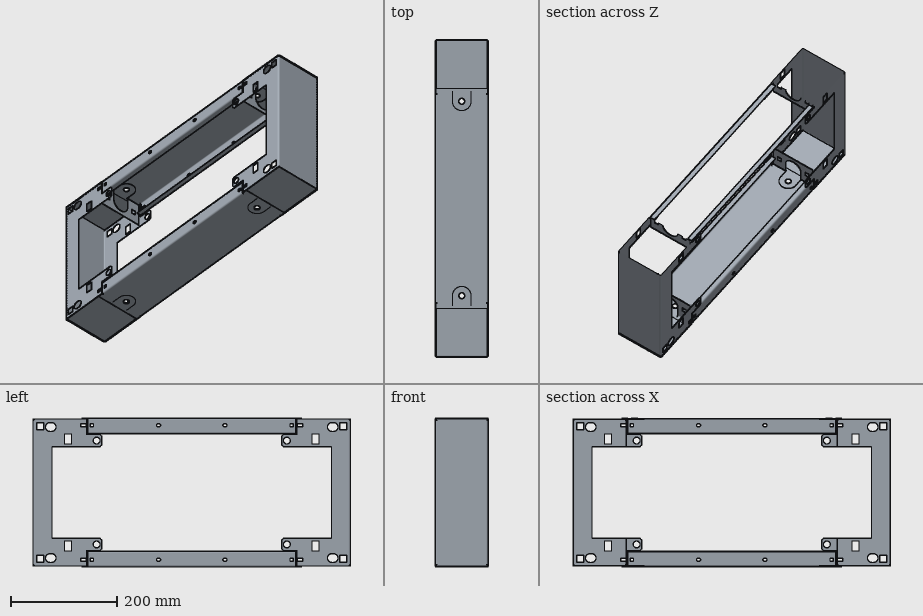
import cadquery as cq

frame_width = 100.0
frame_length = 598.0
frame_height = 280.5
sheet = 1.5
bend_outer = 3.5
bend_inner = bend_outer - sheet

rail_channel_length = 392.0
rail_depth = 30.0
rail_lip = 11.5
rail_overlap_length = 414.0
rail_overlap_width = 98.0
rail_neck_chamfer = 2.0
rail_screw_hole = 12.0
rail_square_hole = 5.5
rail_square_y = 188.0
rail_slot_length = 7.5
rail_slot_height = 5.5
rail_slot_y = 62.5
small_hole_z = 126.6

cap_height = frame_height - 2 * sheet
cap_inner_y = 198.0
cap_outer_y = frame_length / 2
floor_width = 96.0
window_end_y = 262.7
window_height = 172.0
web_width = 91.0
web_height = 52.0

tab_end_y = 169.3
tab_top_z = 109.5
tab_chamfer = 3.5
tab_hole = 12.5
tab_hole_y = 179.0

square_opening_at = (285.0, 124.6)
square_opening = 12.7
long_opening_at = (265.3, 123.3)
long_opening_length = 19.5
long_opening_height = 16.0
tall_opening_at = (233.0, 100.6)
tall_opening_width = 12.7
tall_opening_height = 18.3
small_slot_at = (204.0, small_hole_z)
small_slot_length = 9.0

tongue_radius = 17.5
tongue_hole = 10.0
screw_y = 183.0
tongue_window_top = 42.5
web_square_hole = 8.5
web_square_x = 32.0
web_square_above_floor = 27.5

half_width = frame_width / 2
half_cap = cap_height / 2
cap_length = cap_outer_y - cap_inner_y
cap_middle_y = (cap_outer_y + cap_inner_y) / 2


def box(size_x, size_y, size_z, y=0.0, z=0.0):
    """Box centred on X = 0 and on the given Y and Z."""
    return cq.Workplane("XY").box(size_x, size_y, size_z).translate((0, y, z))


def across(points):
    """Workplane for cutting along the whole X width, with its points given as (y, z)."""
    return cq.Workplane("YZ", origin=(-frame_width, 0, 0)).pushPoints(points)


def both_levels(y, z):
    return [(y, z), (y, -z)]


def both_ends(y, z):
    return [(y, z), (-y, z)]


def side_plates():
    """U-shaped sheet: two side plates joined by the end wall, with windows and tabs."""
    cut_through = 2 * frame_width
    length = cap_outer_y - tab_end_y
    middle = (cap_outer_y + tab_end_y) / 2
    plates = box(frame_width, length, cap_height, middle).edges("|Z and >Y").fillet(bend_outer)
    inside = box(frame_width - 2 * sheet, length, cap_height, middle - sheet)
    plates = plates.cut(inside.edges("|Z and >Y").fillet(bend_inner))

    window_length = window_end_y - tab_end_y
    plates = plates.cut(box(frame_width, window_length, window_height, (window_end_y + tab_end_y) / 2))
    notch_length = cap_inner_y - tab_end_y
    notch_y = (cap_inner_y + tab_end_y) / 2
    notch_height = half_cap - tab_top_z
    for side in (1, -1):
        notch_z = side * (half_cap + tab_top_z) / 2
        plates = plates.cut(box(frame_width, notch_length, notch_height, notch_y, notch_z))
    plates = plates.edges("|X and <Y").chamfer(tab_chamfer)

    tab_middle_z = (tab_top_z + window_height / 2) / 2
    openings = [
        across(both_levels(*square_opening_at)).rect(square_opening, square_opening),
        across(both_levels(*long_opening_at)).slot2D(long_opening_length, long_opening_height),
        across(both_levels(*tall_opening_at)).rect(tall_opening_width, tall_opening_height),
        across(both_levels(*small_slot_at)).rect(small_slot_length, rail_slot_height),
        across(both_levels(tab_hole_y, tab_middle_z)).circle(tab_hole / 2),
    ]
    for opening in openings:
        plates = plates.cut(opening.extrude(cut_through))
    return plates


def floors_and_webs():
    """Top and bottom floors folded from the end wall, each ending in an upright inner web."""
    folds = box(floor_width, cap_length, cap_height, cap_middle_y).edges("|X").fillet(bend_outer)
    inside = box(floor_width, cap_length - 2 * sheet, cap_height - 2 * sheet, cap_middle_y)
    folds = folds.cut(inside.edges("|X").fillet(bend_inner))
    folds = folds.cut(box(floor_width, 2 * bend_outer, cap_height - 2 * web_height, cap_inner_y))
    upright_height = cap_height - 2 * bend_outer
    trim_width = floor_width - web_width
    for side in (1, -1):
        trim = box(trim_width, 2 * bend_outer, upright_height, cap_inner_y)
        folds = folds.cut(trim.translate((side * floor_width / 2, 0, 0)))
    square_z = half_cap - web_square_above_floor
    square_points = [(x, z) for x in (web_square_x, -web_square_x) for z in (square_z, -square_z)]
    squares = cq.Workplane("XZ", origin=(0, cap_inner_y + bend_outer, 0)).pushPoints(square_points)
    folds = folds.cut(squares.rect(web_square_hole, web_square_hole).extrude(2 * bend_outer))
    for side in (1, -1):
        folds = cut_tongue_window(folds, side)
    envelope = box(frame_width, cap_length, cap_height, cap_middle_y).edges("|Z and >Y").fillet(bend_outer)
    return folds.intersect(envelope)


def cut_tongue_window(folds, side):
    """Cut the round-topped window that the screw tongue leaves in one web."""
    arch_z = side * (half_cap - tongue_window_top + tongue_radius)
    straight = tongue_window_top - tongue_radius
    bend_end_y = cap_inner_y + bend_outer
    arch = cq.Workplane("XZ", origin=(0, bend_end_y, 0)).center(0, arch_z).circle(tongue_radius)
    window = arch.extrude(2 * bend_outer)
    leg = box(2 * tongue_radius, 2 * bend_outer, straight, cap_inner_y, side * (half_cap - straight / 2))
    return folds.cut(window).cut(leg)


def screw_tongues():
    """Flat round-ended tongues in the plane of the floors, each with a screw hole."""
    bend_end_y = cap_inner_y + bend_outer
    outline = (
        cq.Workplane("XY")
        .moveTo(-tongue_radius, bend_end_y)
        .lineTo(-tongue_radius, screw_y)
        .threePointArc((0, screw_y - tongue_radius), (tongue_radius, screw_y))
        .lineTo(tongue_radius, bend_end_y)
        .close()
        .extrude(sheet)
    )
    tongue = outline.cut(cq.Workplane("XY").center(0, screw_y).circle(tongue_hole / 2).extrude(sheet))
    upper = tongue.translate((0, 0, half_cap - sheet))
    lower = tongue.translate((0, 0, -half_cap))
    return upper, lower


def end_cap():
    cap = side_plates().union(floors_and_webs())
    for tongue in screw_tongues():
        cap = cap.union(tongue)
    return cap


def rail():
    """Upper rail: a lipped channel open downwards, with flat ends over the end caps."""
    top_z = frame_height / 2
    middle_z = top_z - rail_depth / 2
    channel = box(frame_width, rail_channel_length, rail_depth, z=middle_z).edges("|Y").fillet(bend_outer)
    inside = box(frame_width - 2 * sheet, rail_channel_length, rail_depth - 2 * sheet, z=middle_z)
    channel = channel.cut(inside.edges("|Y").fillet(bend_inner))
    channel = channel.cut(
        box(frame_width - 2 * rail_lip, rail_channel_length, 2 * bend_outer, z=top_z - rail_depth)
    )

    half_neck = rail_overlap_width / 2
    half_flat = half_width - bend_outer
    channel_end = rail_channel_length / 2
    for end in (1, -1):
        flat = [
            (half_flat, end * channel_end),
            (half_neck, end * (channel_end + rail_neck_chamfer)),
            (half_neck, end * rail_overlap_length / 2),
        ]
        mirrored = [(-x, y) for x, y in reversed(flat)]
        plate = cq.Workplane("XY", origin=(0, 0, top_z - sheet)).polyline(flat + mirrored).close()
        channel = channel.union(plate.extrude(sheet))

    screw_holes = cq.Workplane("XY", origin=(0, 0, middle_z)).pushPoints([(0, screw_y), (0, -screw_y)])
    channel = channel.cut(screw_holes.circle(rail_screw_hole / 2).extrude(rail_depth))
    squares = across(both_ends(rail_square_y, small_hole_z)).rect(rail_square_hole, rail_square_hole)
    channel = channel.cut(squares.extrude(2 * frame_width))
    slots = across(both_ends(rail_slot_y, small_hole_z)).slot2D(rail_slot_length, rail_slot_height)
    return channel.cut(slots.extrude(2 * frame_width))


end_caps = []
rails = []
for turn in (0, 180):
    end_caps.append(end_cap().rotate((0, 0, 0), (0, 0, 1), turn).solids().val())
    rails.append(rail().rotate((0, 0, 0), (0, 1, 0), turn).solids().val())
result = cq.Compound.makeCompound([*end_caps, *rails])